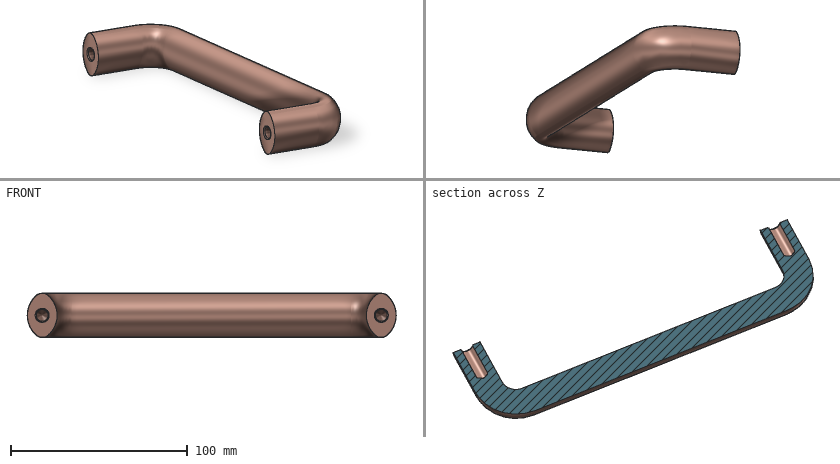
import cadquery as cq
import math

length = 209.0
depth = 55.0

section_width = 17.0
section_height = 25.0
cap_radius = 5.0

bend_radius = 17.0
hole_diameter = 6.7
hole_depth = 20.9
hole_chamfer = 0.6
drill_point_angle = 118.0

half_width = section_width / 2
half_height = section_height / 2
leg_x = length / 2 - half_width
leg_end_y = -depth / 2
bar_y = depth / 2 - half_width

cap_center_z = half_height - cap_radius
side_radius = (half_width**2 + cap_center_z**2 - cap_radius**2) / (2 * (half_width - cap_radius))
side_center_offset = side_radius - half_width

center_distance = side_radius - cap_radius
joint_x = cap_radius * side_center_offset / center_distance
joint_z = cap_center_z + cap_radius * cap_center_z / center_distance


def make_bar():
    """Sweep the oval section along the U-shaped centreline."""
    bend_start_y = bar_y - bend_radius
    bend_end_x = leg_x - bend_radius
    bend_mid = bend_radius * math.sqrt(0.5)
    path = (
        cq.Workplane("XY")
        .moveTo(-leg_x, leg_end_y)
        .lineTo(-leg_x, bend_start_y)
        .threePointArc((-bend_end_x - bend_mid, bend_start_y + bend_mid), (-bend_end_x, bar_y))
        .lineTo(bend_end_x, bar_y)
        .threePointArc((bend_end_x + bend_mid, bend_start_y + bend_mid), (leg_x, bend_start_y))
        .lineTo(leg_x, leg_end_y)
    )
    section = (
        cq.Workplane("XZ", origin=(-leg_x, leg_end_y, 0))
        .moveTo(joint_x, -joint_z)
        .threePointArc((half_width, 0), (joint_x, joint_z))
        .threePointArc((0, half_height), (-joint_x, joint_z))
        .threePointArc((-half_width, 0), (-joint_x, -joint_z))
        .threePointArc((0, -half_height), (joint_x, -joint_z))
        .close()
    )
    return section.sweep(path)


def make_hole(x):
    """Blind hole with a chamfered mouth and a drill point, running up a leg from its end face."""
    radius = hole_diameter / 2
    point_length = radius / math.tan(math.radians(drill_point_angle / 2))
    return (
        cq.Workplane("XY", origin=(x, leg_end_y, 0))
        .lineTo(radius + hole_chamfer, 0)
        .lineTo(radius, hole_chamfer)
        .lineTo(radius, hole_depth)
        .lineTo(0, hole_depth + point_length)
        .close()
        .revolve(360, (0, 0, 0), (0, 1, 0))
    )


result = make_bar()
for hole_x in (-leg_x, leg_x):
    result = result.cut(make_hole(hole_x))